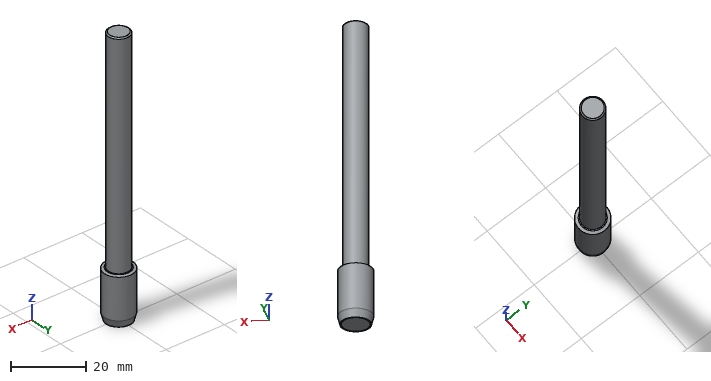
import cadquery as cq

total_length = 90.0

sleeve_radius = 4.9
sleeve_rim_height = 16.0
taper_length = 2.3
taper_inset = 0.6

shank_radius = 3.5
tip_chamfer_height = 0.4
tip_chamfer_width = 0.45
foot_radius = 3.9

cone_height = 0.3
cone_slope = cone_height / (sleeve_radius - shank_radius)
shank_base_height = sleeve_rim_height + cone_height
seam_height = sleeve_rim_height + cone_slope * (sleeve_radius - foot_radius)


def revolve_profile(points):
    """Revolve a closed (radius, height) outline around the Z axis."""
    return cq.Workplane("XZ").polyline(points).close().revolve(360, (0, 0, 0), (0, 1, 0))


def make_sleeve():
    """Sleeve with a through bore that fits the pin's foot."""
    return revolve_profile([
        (foot_radius, 0),
        (sleeve_radius - taper_inset, 0),
        (sleeve_radius, taper_length),
        (sleeve_radius, sleeve_rim_height),
        (foot_radius, seam_height),
    ])


def make_pin():
    """Pin whose foot fills the sleeve bore, flush with the sleeve's lower end."""
    return revolve_profile([
        (0, 0),
        (foot_radius, 0),
        (foot_radius, seam_height),
        (shank_radius, shank_base_height),
        (shank_radius, total_length - tip_chamfer_height),
        (shank_radius - tip_chamfer_width, total_length),
        (0, total_length),
    ])


sleeve = make_sleeve()
pin = make_pin()

result = cq.Compound.makeCompound([sleeve.val(), pin.val()])